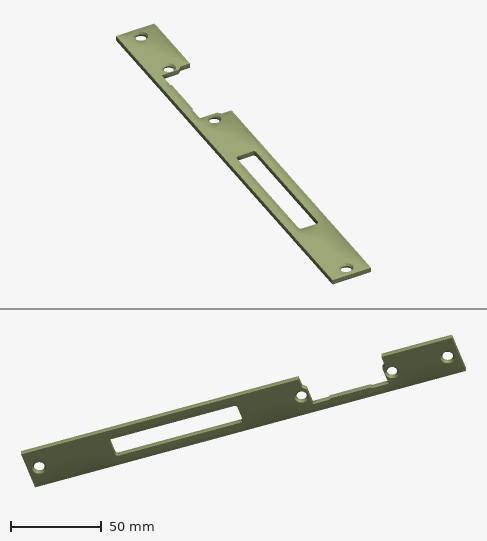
import cadquery as cq
length = 250.0
width = 24.0
thickness = 3.0
mid_y = width / 2

notch_center_x = 65.0
notch_mouth_width = 48.0
notch_inner_width = 44.0
shoulder_top_y = 18.0
shoulder_bottom_y = 16.0
notch_floor_y = 5.3
lip_width = 24.0
lip_y = 6.0

slot_left_x = 127.0
slot_length = 74.0
slot_width = 12.0
slot_corner_radius = 1.5

end_hole_inset = 6.5
notch_hole_spacing = 52.5
end_hole_diameter = 6.0
end_rim_diameter = 8.0
notch_hole_diameter = 5.7
notch_rim_diameter = 7.8
countersink_depth = 1.2


def make_plate():
    return cq.Workplane("XY").box(length, width, thickness, centered=False)


def make_notch():
    """Notch with sloping shoulders beside the screw holes and a raised lip on its floor."""
    mouth_half = notch_mouth_width / 2
    inner_half = notch_inner_width / 2
    lip_half = lip_width / 2
    right_half = (
        cq.Workplane("XY")
        .moveTo(0, width)
        .lineTo(mouth_half, width)
        .lineTo(mouth_half, shoulder_top_y)
        .lineTo(inner_half, shoulder_bottom_y)
        .lineTo(inner_half, notch_floor_y)
        .lineTo(lip_half, notch_floor_y)
        .lineTo(lip_half, lip_y)
        .lineTo(0, lip_y)
        .close()
        .extrude(thickness)
    )
    both_halves = right_half.union(right_half.mirror("YZ"))
    return both_halves.translate((notch_center_x, 0, 0))


def make_slot():
    return (
        cq.Workplane("XY")
        .center(slot_left_x + slot_length / 2, mid_y)
        .rect(slot_length, slot_width)
        .extrude(thickness)
        .edges("|Z")
        .fillet(slot_corner_radius)
    )


def make_screw_hole(neck_diameter, rim_diameter):
    """Through hole countersunk equally from both faces, as a revolved profile about the Z axis."""
    neck_radius = neck_diameter / 2
    rim_radius = rim_diameter / 2
    return (
        cq.Workplane("XZ")
        .moveTo(0, 0)
        .lineTo(rim_radius, 0)
        .lineTo(neck_radius, countersink_depth)
        .lineTo(neck_radius, thickness - countersink_depth)
        .lineTo(rim_radius, thickness)
        .lineTo(0, thickness)
        .close()
        .revolve(360, (0, 0, 0), (0, 1, 0))
    )


def drill_hole_pair(plate, left_x, right_x, screw_hole):
    for center_x in (left_x, right_x):
        plate = plate.cut(screw_hole.translate((center_x, mid_y, 0)))
    return plate


plate = make_plate().cut(make_slot()).cut(make_notch())
plate = drill_hole_pair(
    plate,
    end_hole_inset,
    length - end_hole_inset,
    make_screw_hole(end_hole_diameter, end_rim_diameter),
)
result = drill_hole_pair(
    plate,
    notch_center_x - notch_hole_spacing / 2,
    notch_center_x + notch_hole_spacing / 2,
    make_screw_hole(notch_hole_diameter, notch_rim_diameter),
)